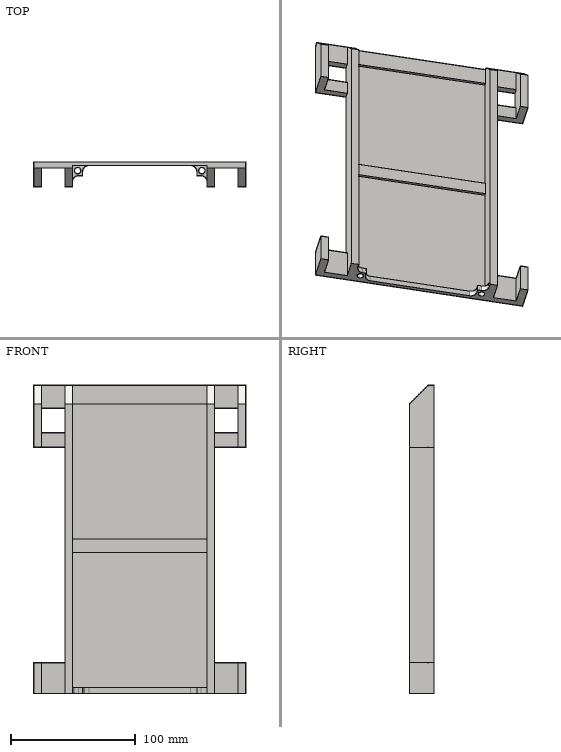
import cadquery as cq

WIDTH = 170.2
DEPTH = 20.0
HEIGHT = 247.0

RAIL_OUTER_X = 60.0
RAIL_THICKNESS = 6.2
RAIL_INNER_X = RAIL_OUTER_X - RAIL_THICKNESS

PANEL_THICKNESS = 1.0
BAND_THICKNESS = 3.0
BOTTOM_BAND_HEIGHT = 5.0
MIDDLE_BAND_HEIGHT = 11.0
MIDDLE_BAND_BOTTOM = 113.0

BRACKET_BACK_THICKNESS = 5.0
BRACKET_LEG_THICKNESS = 6.5
LOWER_BRACKET_HEIGHT = 24.7
UPPER_BRACKET_HEIGHT = 50.0
WINDOW_TOP_MARGIN = 18.5
WINDOW_HEIGHT = 19.5

SLOPE = DEPTH - BRACKET_BACK_THICKNESS
TOP_BAND_HEIGHT = SLOPE

BOSS_SIZE = 8.2
BOSS_FILLET = 5.0
HOLE_DIAMETER = 5.0


def block(x_min, x_max, thickness, z_min, height):
    """Block of the given thickness standing against the back plane."""
    return cq.Workplane("XY").box(x_max - x_min, thickness, height, centered=False).translate(
        (x_min, DEPTH - thickness, z_min)
    )


def back_panel():
    def band(thickness, z_min, height):
        return block(-RAIL_OUTER_X, RAIL_OUTER_X, thickness, z_min, height)

    return (
        band(PANEL_THICKNESS, 0, HEIGHT)
        .union(band(BAND_THICKNESS, 0, BOTTOM_BAND_HEIGHT))
        .union(band(BAND_THICKNESS, MIDDLE_BAND_BOTTOM, MIDDLE_BAND_HEIGHT))
        .union(band(BAND_THICKNESS, HEIGHT - TOP_BAND_HEIGHT, TOP_BAND_HEIGHT))
    )


def bracket(z_min, height):
    """L-shaped bracket on the +X side: a back plate and an outer leg."""
    outer_x = WIDTH / 2
    back = block(RAIL_INNER_X, outer_x, BRACKET_BACK_THICKNESS, z_min, height)
    leg = block(outer_x - BRACKET_LEG_THICKNESS, outer_x, DEPTH, z_min, height)
    return back.union(leg)


def bracket_window():
    """Opening through the back plate of the upper bracket, from rail to leg."""
    return block(
        RAIL_OUTER_X,
        WIDTH / 2 - BRACKET_LEG_THICKNESS,
        BRACKET_BACK_THICKNESS,
        HEIGHT - WINDOW_TOP_MARGIN - WINDOW_HEIGHT,
        WINDOW_HEIGHT,
    )


def screw_boss():
    """Square boss in the +X corner, blended into the rail and the bottom band, with a screw hole."""
    wall_x = RAIL_INNER_X
    wall_y = DEPTH - BAND_THICKNESS
    boss_x = wall_x - BOSS_SIZE
    boss_y = wall_y - BOSS_SIZE
    return (
        cq.Workplane("XY")
        .moveTo(wall_x, wall_y)
        .lineTo(boss_x - BOSS_FILLET, wall_y)
        .radiusArc((boss_x, wall_y - BOSS_FILLET), BOSS_FILLET)
        .lineTo(boss_x, boss_y)
        .lineTo(wall_x - BOSS_FILLET, boss_y)
        .radiusArc((wall_x, boss_y - BOSS_FILLET), BOSS_FILLET)
        .close()
        .moveTo(wall_x - BOSS_SIZE / 2, wall_y - BOSS_SIZE / 2)
        .circle(HOLE_DIAMETER / 2)
        .extrude(BOTTOM_BAND_HEIGHT)
    )


def top_slope():
    """Wedge that removes the top front corner across the full width."""
    return (
        cq.Workplane("YZ")
        .polyline([(0, HEIGHT - SLOPE), (SLOPE, HEIGHT), (0, HEIGHT)])
        .close()
        .extrude(WIDTH / 2, both=True)
    )


def right_side():
    """Rail, brackets and screw boss on the +X side."""
    rail = block(RAIL_INNER_X, RAIL_OUTER_X, DEPTH, 0, HEIGHT)
    upper_bracket = bracket(HEIGHT - UPPER_BRACKET_HEIGHT, UPPER_BRACKET_HEIGHT)
    return (
        rail.union(bracket(0, LOWER_BRACKET_HEIGHT))
        .union(upper_bracket.cut(bracket_window()))
        .union(screw_boss())
    )


side = right_side()
result = back_panel().union(side).union(side.mirror("YZ")).cut(top_slope())